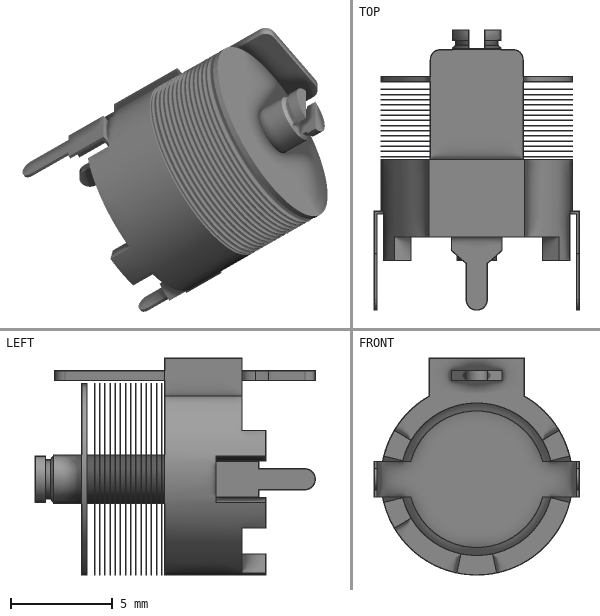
import cadquery as cq
import math


body_radius = 4.70
body_length = 3.80
recess_radius = 3.74
recess_floor = 2.53
block_width = 4.66
block_top = 5.94

lug_front = 4.96
slot_half_angle = 14.0
side_lug_end_angle = 30.7
bottom_lug_half_angle = 12.0

sheet_thickness = 0.15
plate_radius = 3.35
leg_span = 10.06
leg_width = 1.76
leg_shoulder = 4.62
pin_width = 1.04
pin_tip = 7.39

tab_thickness = 0.50
tab_bottom = 4.83
rear_tab_width = 4.56
rear_tab_length = 5.39
rear_tab_corner = 0.50
front_tab_width = 2.49
front_tab_straight_end = 4.46
front_tab_taper_end = 5.10

film_count = 14
film_thickness = 0.025
film_pitch = 0.2535
first_film_gap = 0.13
end_disc_front = 3.80
end_disc_thickness = 0.27

shaft_radius = 1.20
shaft_length = 5.45
neck_radius = 1.04
neck_start = 5.60
head_start = 5.84
shaft_end = 6.35
slot_width = 0.78


def forward(y):
    """Y coordinate of a point lying y in front of the rear face."""
    return -y


def cylinder(radius, front, rear):
    """Cylinder about the Y axis between two Y coordinates."""
    return cq.Workplane("XZ", origin=(0, front, 0)).circle(radius).extrude(front - rear)


def box(x_range, y_range, z_range):
    """Box given by its limits along each axis."""
    limits = (x_range, y_range, z_range)
    size = [high - low for low, high in limits]
    centre = [(high + low) / 2 for low, high in limits]
    return cq.Workplane("XY").box(*size).translate(tuple(centre))


def wedge(start_angle, end_angle, rear, front):
    """Wedge reaching from the axis past the rim; angles in degrees from +X towards +Z."""
    reach = 2 * body_radius
    outline = [(0, 0)]
    for angle in (start_angle, (start_angle + end_angle) / 2, end_angle):
        direction = math.radians(angle)
        outline.append((reach * math.cos(direction), reach * math.sin(direction)))
    return cq.Workplane("XZ", origin=(0, forward(rear), 0)).polyline(outline).close().extrude(front - rear)


def make_body():
    """Cup with a rim cut down to four lugs, two terminal slots and a square block on top."""
    body = cylinder(body_radius, 0, forward(lug_front))
    rim_gaps = (
        (side_lug_end_angle, 180 - side_lug_end_angle),
        (180 + side_lug_end_angle, 270 - bottom_lug_half_angle),
        (270 + bottom_lug_half_angle, 360 - slot_half_angle),
    )
    for start_angle, end_angle in rim_gaps:
        body = body.cut(wedge(start_angle, end_angle, body_length, lug_front))
    for side_angle in (0, 180):
        slot_start = side_angle - slot_half_angle
        slot_end = side_angle + slot_half_angle
        body = body.cut(wedge(slot_start, slot_end, recess_floor, lug_front))

    block = box((-block_width / 2, block_width / 2), (forward(body_length), 0), (0, block_top))
    recess = cylinder(recess_radius, forward(recess_floor), forward(lug_front))
    return body.union(block).cut(recess)


def make_leg(side):
    """Terminal leg bent forward from the plate at the +X (side = 1) or -X (side = -1) end."""
    outer_x = side * leg_span / 2
    half_leg = leg_width / 2
    half_pin = pin_width / 2
    pin_arc_start = pin_tip - half_pin
    return (
        cq.Workplane("YZ", origin=(outer_x, 0, 0))
        .moveTo(forward(recess_floor), -half_leg)
        .lineTo(forward(leg_shoulder), -half_leg)
        .lineTo(forward(leg_shoulder), -half_pin)
        .lineTo(forward(pin_arc_start), -half_pin)
        .threePointArc((forward(pin_tip), 0), (forward(pin_arc_start), half_pin))
        .lineTo(forward(leg_shoulder), half_pin)
        .lineTo(forward(leg_shoulder), half_leg)
        .lineTo(forward(recess_floor), half_leg)
        .close()
        .extrude(-side * sheet_thickness)
    )


def make_terminal_plate():
    plate_front = forward(recess_floor + sheet_thickness)
    strip = box(
        (-leg_span / 2, leg_span / 2),
        (plate_front, forward(recess_floor)),
        (-leg_width / 2, leg_width / 2),
    )
    plate = cylinder(plate_radius, forward(recess_floor), plate_front).union(strip)
    for side in (1, -1):
        plate = plate.union(make_leg(side))
    return plate


def make_rear_tab():
    tab = box(
        (-rear_tab_width / 2, rear_tab_width / 2),
        (0, rear_tab_length),
        (tab_bottom, tab_bottom + tab_thickness),
    )
    return tab.edges("|Z and >Y").fillet(rear_tab_corner)


def make_front_tab():
    half_tab = front_tab_width / 2
    half_pin = pin_width / 2
    pin_arc_start = pin_tip - half_pin
    return (
        cq.Workplane("XY", origin=(0, 0, tab_bottom))
        .moveTo(-half_tab, forward(body_length))
        .lineTo(-half_tab, forward(front_tab_straight_end))
        .lineTo(-half_pin, forward(front_tab_taper_end))
        .lineTo(-half_pin, forward(pin_arc_start))
        .threePointArc((0, forward(pin_tip)), (half_pin, forward(pin_arc_start)))
        .lineTo(half_pin, forward(front_tab_taper_end))
        .lineTo(half_tab, forward(front_tab_straight_end))
        .lineTo(half_tab, forward(body_length))
        .close()
        .extrude(tab_thickness)
    )


def make_shaft():
    profile = (
        cq.Workplane("XY")
        .moveTo(0, 0)
        .lineTo(shaft_radius, 0)
        .lineTo(shaft_radius, shaft_length)
        .lineTo(neck_radius, neck_start)
        .lineTo(neck_radius, head_start)
        .lineTo(shaft_radius, head_start)
        .lineTo(shaft_radius, shaft_end)
        .lineTo(0, shaft_end)
        .close()
    )
    shaft = profile.revolve(360, (0, 0, 0), (0, 1, 0))
    driver_slot = box(
        (-slot_width / 2, slot_width / 2),
        (shaft_length, shaft_end),
        (-shaft_radius, shaft_radius),
    )
    return shaft.cut(driver_slot)


def make_plate_stack():
    """Shaft carrying the thin plates and the thicker end disc."""
    stack = make_shaft()
    for index in range(film_count):
        film_front = first_film_gap + index * film_pitch
        stack = stack.union(cylinder(body_radius, film_front + film_thickness, film_front))
    return stack.union(cylinder(body_radius, end_disc_front + end_disc_thickness, end_disc_front))


result = (
    make_body()
    .union(make_terminal_plate())
    .union(make_rear_tab())
    .union(make_front_tab())
    .union(make_plate_stack())
)